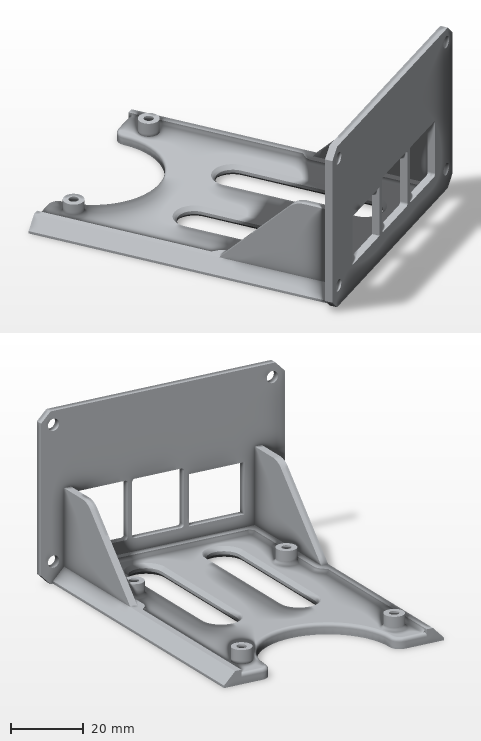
import cadquery as cq
import math

LENGTH = 93.9
PANEL_WIDTH = 78.0
PANEL_HEIGHT = 51.0
PANEL_THICKNESS = 2.3
PANEL_CORNER = 3.0
PANEL_HOLE_DIAMETER = 3.6
PANEL_HOLE_Y = 35.0
PANEL_HOLE_HEIGHTS = (6.5, 46.9)
PANEL_X = LENGTH - PANEL_THICKNESS

WINDOW_SILL = 8.2
WINDOWS = (
    (11.3, 16.5, 17.6, 0.8),
    (-6.7, 16.5, 17.6, 0.8),
    (-26.0, 17.7, 15.4, 0),
)

BASE_HEIGHT = 4.3
BASE_EDGE_HEIGHT = 0.75
BASE_HALF_WIDTH = 35.2
BASE_TOP_HALF_WIDTH = BASE_HALF_WIDTH - (BASE_HEIGHT - BASE_EDGE_HEIGHT)

POCKET_DEPTH = 1.1
POCKET_FILLET = 0.9
POCKET_HALF_WIDTH = 29.7
POCKET_NARROW_HALF_WIDTH = 27.3
POCKET_STEP_X = 52.9
POCKET_STEP_RADIUS = 3.0
POCKET_END_X = 89.7
POCKET_CORNER = 1.1
FLOOR_HEIGHT = BASE_HEIGHT - POCKET_DEPTH
END_FILLET = 1.0

NOTCH_RADIUS = 19.7
NOTCH_LIP_RADIUS = 3.2

SLOT_WIDTH = 9.8
SLOT_CHAMFER = 1.1
SLOT_START_X = 34.8
SLOT_END_X = 84.7
SLOT_Y = 12.5

STANDOFF_DIAMETER = 6.0
STANDOFF_BORE = 2.8
STANDOFF_TOP = 7.3
STANDOFF_FILLET = 0.9
STANDOFF_XS = (8.6, 66.4)
STANDOFF_Y = 24.4

RIB_THICKNESS = 2.3
RIB_TOP = 27.5
RIB_START_X = 56.15
RIB_RADIUS = 6.0


def make_base():
    """Plate with sloping long sides, running from the free end to the panel."""
    section = [
        (-BASE_HALF_WIDTH, 0),
        (BASE_HALF_WIDTH, 0),
        (BASE_HALF_WIDTH, BASE_EDGE_HEIGHT),
        (BASE_TOP_HALF_WIDTH, BASE_HEIGHT),
        (-BASE_TOP_HALF_WIDTH, BASE_HEIGHT),
        (-BASE_HALF_WIDTH, BASE_EDGE_HEIGHT),
    ]
    return cq.Workplane("YZ").polyline(section).close().extrude(PANEL_X)


def make_pocket():
    """Square-edged pocket volume, starting ahead of the free end."""
    overrun = 4.7
    narrow_x = POCKET_STEP_X + POCKET_HALF_WIDTH - POCKET_NARROW_HALF_WIDTH
    side = [
        (-overrun, POCKET_HALF_WIDTH),
        (POCKET_STEP_X, POCKET_HALF_WIDTH),
        (narrow_x, POCKET_NARROW_HALF_WIDTH),
        (POCKET_END_X - POCKET_CORNER, POCKET_NARROW_HALF_WIDTH),
        (POCKET_END_X, POCKET_NARROW_HALF_WIDTH - POCKET_CORNER),
    ]
    outline = side + [(x, -y) for x, y in reversed(side)]
    pocket = (
        cq.Workplane("XY").workplane(offset=FLOOR_HEIGHT)
        .polyline(outline).close().extrude(BASE_HEIGHT)
    )
    for y in (-POCKET_NARROW_HALF_WIDTH, POCKET_NARROW_HALF_WIDTH):
        step_edge = cq.selectors.NearestToPointSelector((narrow_x, y, FLOOR_HEIGHT + BASE_HEIGHT / 2))
        pocket = pocket.edges("|Z").edges(step_edge).fillet(POCKET_STEP_RADIUS)
    return pocket


def make_notch():
    """Half-round cutout that flares to the free end through rounded lips."""
    lip_mid = NOTCH_LIP_RADIUS * math.sqrt(0.5)
    mouth = NOTCH_RADIUS + NOTCH_LIP_RADIUS
    return (
        cq.Workplane("XY")
        .moveTo(0, mouth)
        .threePointArc((NOTCH_LIP_RADIUS - lip_mid, mouth - lip_mid), (NOTCH_LIP_RADIUS, NOTCH_RADIUS))
        .threePointArc((NOTCH_LIP_RADIUS + NOTCH_RADIUS, 0), (NOTCH_LIP_RADIUS, -NOTCH_RADIUS))
        .threePointArc((NOTCH_LIP_RADIUS - lip_mid, lip_mid - mouth), (0, -mouth))
        .close()
        .extrude(BASE_HEIGHT)
    )


def make_slots():
    """Two round-ended slots, one on each side of the centre line."""
    middle_x = (SLOT_START_X + SLOT_END_X) / 2
    return (
        cq.Workplane("XY")
        .pushPoints([(middle_x, SLOT_Y), (middle_x, -SLOT_Y)])
        .slot2D(SLOT_END_X - SLOT_START_X, SLOT_WIDTH)
        .extrude(BASE_HEIGHT)
    )


def edges_in_box(low, high):
    """Selector for edges whose centres lie inside the box, with a little room around it."""
    margin = 0.05
    return cq.selectors.BoxSelector(
        tuple(value - margin for value in low),
        tuple(value + margin for value in high),
    )


def make_wall_fillet():
    """Material left in the angle between pocket wall and floor, behind the rounded end."""
    pocket = make_pocket()
    rounded_pocket = pocket.faces("<Z").edges("not <X").fillet(POCKET_FILLET)
    level_floor = (
        cq.Workplane("XY")
        .box(LENGTH, PANEL_WIDTH, PANEL_HEIGHT, centered=(False, True, False))
        .translate((END_FILLET, 0, 0))
    )
    return pocket.cut(rounded_pocket).intersect(level_floor)


def make_tray():
    """Base with pocket, notch and slots; rounded free end, filleted pocket, bevelled slots."""
    tray = make_base().cut(make_pocket()).cut(make_notch())

    end_floor_mid_y = (POCKET_HALF_WIDTH + NOTCH_RADIUS + NOTCH_LIP_RADIUS) / 2
    notch_bottom_x = NOTCH_LIP_RADIUS + NOTCH_RADIUS
    end_edges = edges_in_box(
        (0, -end_floor_mid_y, FLOOR_HEIGHT),
        (notch_bottom_x, end_floor_mid_y, FLOOR_HEIGHT),
    )
    tray = tray.edges(end_edges).fillet(END_FILLET)

    tray = tray.union(make_wall_fillet())

    tray = tray.cut(make_slots())
    slot_outer_y = SLOT_Y + SLOT_WIDTH / 2
    slot_edges = edges_in_box(
        (SLOT_START_X, -slot_outer_y, 0),
        (SLOT_END_X, slot_outer_y, FLOOR_HEIGHT),
    )
    return tray.edges(slot_edges).edges("not |Z").chamfer(SLOT_CHAMFER)


def make_standoff(x, y, fillet):
    """Round post on the floor, with a concave fillet at its foot when fillet > 0."""
    radius = STANDOFF_DIAMETER / 2
    post = (
        cq.Workplane("XY").workplane(offset=FLOOR_HEIGHT)
        .circle(radius).extrude(STANDOFF_TOP - FLOOR_HEIGHT)
    )
    if fillet > 0:
        foot_mid = fillet * (1 - math.sqrt(0.5))
        foot = (
            cq.Workplane("XZ")
            .moveTo(0, FLOOR_HEIGHT)
            .lineTo(radius + fillet, FLOOR_HEIGHT)
            .threePointArc((radius + foot_mid, FLOOR_HEIGHT + foot_mid), (radius, FLOOR_HEIGHT + fillet))
            .lineTo(0, FLOOR_HEIGHT + fillet)
            .close()
            .revolve(360, (0, 0, 0), (0, 1, 0))
        )
        post = post.union(foot)
    return post.translate((x, y, 0))


def make_rib(inner_y):
    """Upright brace with a 45 degree front edge and a rounded upper corner."""
    rise = RIB_TOP - BASE_HEIGHT
    profile = [
        (RIB_START_X, BASE_HEIGHT),
        (PANEL_X, BASE_HEIGHT),
        (PANEL_X, RIB_TOP),
        (RIB_START_X + rise, RIB_TOP),
    ]
    rib = cq.Workplane("XZ").polyline(profile).close().extrude(-RIB_THICKNESS)
    upper_corner = cq.selectors.NearestToPointSelector(
        (RIB_START_X + rise, RIB_THICKNESS / 2, RIB_TOP))
    return rib.edges("|Y").edges(upper_corner).fillet(RIB_RADIUS).translate((0, inner_y, 0))


def make_panel():
    """Upright plate with cut corners, mounting holes and three openings."""
    panel = (
        cq.Workplane("XY")
        .box(PANEL_THICKNESS, PANEL_WIDTH, PANEL_HEIGHT, centered=(False, True, False))
        .edges("|X").chamfer(PANEL_CORNER)
    )
    holes = [(y, z) for y in (-PANEL_HOLE_Y, PANEL_HOLE_Y) for z in PANEL_HOLE_HEIGHTS]
    panel = panel.cut(
        cq.Workplane("YZ").pushPoints(holes).circle(PANEL_HOLE_DIAMETER / 2).extrude(PANEL_THICKNESS))
    for low_y, width, height, corner_radius in WINDOWS:
        window = (
            cq.Workplane("XY")
            .box(PANEL_THICKNESS, width, height, centered=False)
            .translate((0, low_y, WINDOW_SILL))
        )
        if corner_radius > 0:
            window = window.edges("|X").fillet(corner_radius)
        panel = panel.cut(window)
    return panel.translate((PANEL_X, 0, 0))


result = make_tray().union(make_panel())
rib_inner_y = BASE_TOP_HALF_WIDTH - RIB_THICKNESS
for inner_y in (rib_inner_y, -BASE_TOP_HALF_WIDTH):
    result = result.union(make_rib(inner_y))

bores = cq.Workplane("XY")
for x in STANDOFF_XS:
    for y in (-STANDOFF_Y, STANDOFF_Y):
        plain_foot = x == STANDOFF_XS[0] and y > 0
        result = result.union(make_standoff(x, y, 0 if plain_foot else STANDOFF_FILLET))
        bores = bores.union(cq.Workplane("XY").center(x, y).circle(STANDOFF_BORE / 2).extrude(STANDOFF_TOP))

result = result.cut(bores)